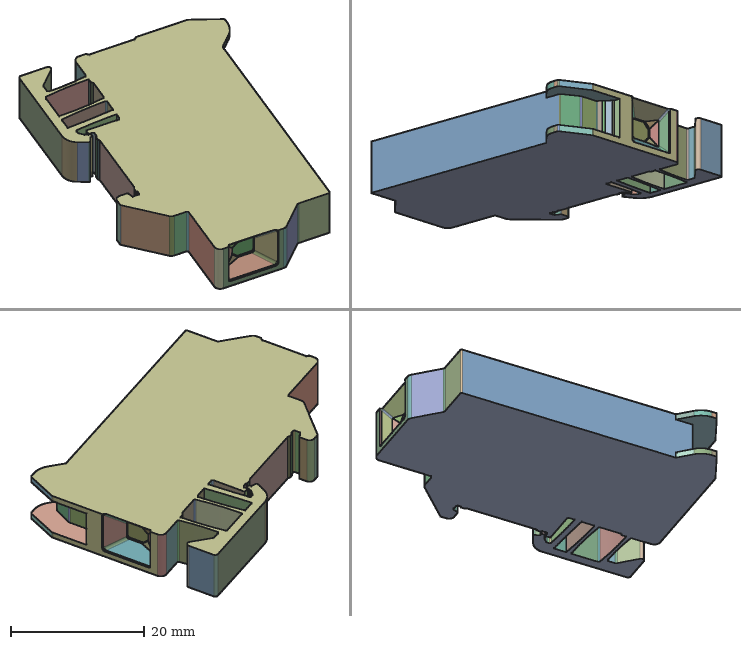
import cadquery as cq
import math

LENGTH = 48.0
HEIGHT = 33.5
WIDTH = 8.1

HOUSING_TOP_Y = 30.5
HOUSING_BOTTOM_Y = 9.5
HOUSING_LEFT_BOTTOM_Y = 9.2
CORNER_RADIUS = 1.0
SHOULDER_X = 44.0
RAIL_FACE_Y = 4.65
RAIL_LEFT_X = 16.15
RAIL_RIGHT_X = 31.55
RAIL_PAD_DROP = 0.2
RAIL_PAD_LENGTH = 1.1
RAIL_PAD_OUTER_SLOPE = 0.1
RAIL_PAD_INNER_SLOPE = 0.4
RAIL_PAD_LEFT_INSET = 0.95
RAIL_PAD_RIGHT_INSET = 0.7
LEG_LEFT_X = 15.25
LEG_BOTTOM_Y = 3.8
HOOK_TIP_X = 30.55
HOOK_BOTTOM_Y = 1.0
FLANK_X = 38.15

FOOT_TOP_Y = 2.45
FOOT_WINDOW_Y = 1.6
WEB_ROOT_RADIUS = 0.25

CHEEK = 1.0
SLOT_FLOOR_Y = 22.5
SLOT_BACK_X = 3.3

FUNNEL_DEPTH = 2.9
FUNNEL_LIP = 0.35
FUNNEL_UPPER_LIP = 0.1
FUNNEL_TAPER_END = FUNNEL_DEPTH - FUNNEL_LIP
FUNNEL_MOUTH_Y = (11.45, 19.8)
FUNNEL_FLOOR_Y = (13.3, 17.0)
FUNNEL_MOUTH_Z = (1.0, 8.35)
FUNNEL_FLOOR_Z = (2.8, 5.95)
FUNNEL_BREAK = (1.85, 12.0)
FUNNEL_ROUND = 0.6
FUNNEL_STEEP_ROUND = 0.3
FACET_Y = 1.0
FACET_Z = 0.9


def rounded_outline(corners):
    """Closed wire through (x, y, radius) corners; a zero radius keeps the corner sharp."""
    stretches = []
    for i, (x, y, radius) in enumerate(corners):
        corner = cq.Vector(x, y)
        before = (cq.Vector(*corners[i - 1][:2]) - corner).normalized()
        after = (cq.Vector(*corners[(i + 1) % len(corners)][:2]) - corner).normalized()
        if radius == 0:
            stretches.append([corner])
            continue
        half_angle = before.getAngle(after) / 2
        reach = radius / math.tan(half_angle)
        sagitta = radius / math.sin(half_angle) - radius
        middle = corner + (before + after).normalized() * sagitta
        stretches.append([corner + before * reach, middle, corner + after * reach])
    wire = cq.Workplane("XY").moveTo(*stretches[0][-1].toTuple()[:2])
    for stretch in stretches[1:] + stretches[:1]:
        wire = wire.lineTo(stretch[0].x, stretch[0].y)
        if len(stretch) == 3:
            wire = wire.threePointArc(stretch[1].toTuple()[:2], stretch[2].toTuple()[:2])
    return wire.wire()


def rail_pad(start_x, left_slope, right_slope):
    """Corners of one pad on the rail face, from left to right."""
    low_y = RAIL_FACE_Y - RAIL_PAD_DROP
    end_x = start_x + RAIL_PAD_LENGTH
    return [
        (start_x, RAIL_FACE_Y, 0),
        (start_x + left_slope, low_y, 0),
        (end_x - right_slope, low_y, 0),
        (end_x, RAIL_FACE_Y, 0),
    ]


def housing():
    left_pad_x = RAIL_LEFT_X + RAIL_PAD_LEFT_INSET
    right_pad_x = RAIL_RIGHT_X - RAIL_PAD_RIGHT_INSET - RAIL_PAD_LENGTH
    corners = [
        (0, HOUSING_LEFT_BOTTOM_Y, CORNER_RADIUS),
        (6.0, HOUSING_LEFT_BOTTOM_Y, 0),
        (6.3, HOUSING_BOTTOM_Y, 0),
        (LEG_LEFT_X, HOUSING_BOTTOM_Y, 0.3),
        (LEG_LEFT_X, LEG_BOTTOM_Y, 0),
        (RAIL_LEFT_X, LEG_BOTTOM_Y, 0),
        (RAIL_LEFT_X, RAIL_FACE_Y, 0.3),
        *rail_pad(left_pad_x, RAIL_PAD_OUTER_SLOPE, RAIL_PAD_INNER_SLOPE),
        *rail_pad(right_pad_x, RAIL_PAD_INNER_SLOPE, RAIL_PAD_OUTER_SLOPE),
        (RAIL_RIGHT_X, RAIL_FACE_Y, 0.2),
        (RAIL_RIGHT_X, 3.5, 0),
        (HOOK_TIP_X, 3.15, 0.15),
        (HOOK_TIP_X, HOOK_BOTTOM_Y, 0.8),
        (32.4, HOOK_BOTTOM_Y, 0.25),
        (FLANK_X, 6.75, CORNER_RADIUS),
        (FLANK_X, HOUSING_BOTTOM_Y, 0.3),
        (LENGTH, HOUSING_BOTTOM_Y, CORNER_RADIUS),
        (LENGTH, 21.0, CORNER_RADIUS),
        (SHOULDER_X, 25.0, 0.5),
        (SHOULDER_X, HOUSING_TOP_Y, 0.25),
        (7.75, HOUSING_TOP_Y, 0),
        (4.7, HEIGHT, 3.5),
        (2.35, HEIGHT, 0.3),
        (0, 28.45, 0.4),
    ]
    return rounded_outline(corners).extrude(WIDTH)


def foot():
    corners = [
        (0, 0, 0.5),
        (16.25, 0, 2.65),
        (17.9, 3.2, 0.25),
        (16.9, 3.65, 0),
        (16.9, 4.1, 0),
        (16.2, 4.1, 0),
        (16.2, 3.7, 0),
        (16.0, 3.45, 0),
        (16.0, 3.15, 0),
        (15.25, FOOT_TOP_Y, 0.4),
        (14.0, FOOT_TOP_Y, 0),
        (14.0, FOOT_WINDOW_Y, 0),
        (5.5, FOOT_WINDOW_Y, 0),
        (5.5, FOOT_TOP_Y, 0),
        (3.5, FOOT_TOP_Y, 0.5),
        (0, 5.95, 0.5),
    ]
    return rounded_outline(corners).extrude(WIDTH)


def web(left_face, right_face):
    """Curved leaf spring; each face is given by its lower, middle and upper point."""
    return (
        cq.Workplane("XY")
        .moveTo(*left_face[0])
        .threePointArc(left_face[1], left_face[2])
        .lineTo(*right_face[2])
        .threePointArc(right_face[1], right_face[0])
        .close()
        .extrude(WIDTH)
    )


def webs():
    outer = web([(5.0, 1.55), (4.9, 5.3), (4.35, 9.6)], [(5.9, 1.55), (5.4, 5.3), (5.25, 9.6)])
    middle = web([(10.6, 1.55), (10.45, 5.3), (9.95, 9.6)], [(11.45, 1.55), (11.0, 5.3), (10.7, 9.6)])
    inner = web([(13.55, 1.55), (13.3, 5.3), (12.9, 9.6)], [(14.7, 1.55), (14.3, 5.3), (14.05, 9.6)])
    return outer.union(middle).union(inner)


def marker_slot():
    """Open space between the cheeks, bounded by the stepped end of the core."""
    beyond = 0.5
    corners = [
        (8.15, HOUSING_TOP_Y, 0),
        (4.9, HOUSING_TOP_Y, 0.2),
        (SLOT_BACK_X, 27.45, 0.85),
        (SLOT_BACK_X, 24.1, 0.2),
        (2.6, 23.65, 0),
        (2.3, 23.25, 0),
        (1.35, 22.75, 0),
        (1.2, SLOT_FLOOR_Y, 0),
        (-beyond, SLOT_FLOOR_Y, 0),
        (-beyond, HEIGHT + beyond, 0),
        (8.15, HEIGHT + beyond, 0),
    ]
    cutter = rounded_outline(corners).extrude(WIDTH - 2 * CHEEK)
    return cutter.translate((0, 0, CHEEK))


def facet_cut(lip, mouth_z, floor_z, outward):
    """Block lying outside a slanted facet in one lower corner of the funnel floor."""
    corner = cq.Vector(FUNNEL_TAPER_END, FUNNEL_FLOOR_Y[0], floor_z)
    along_y = corner + cq.Vector(0, FACET_Y, 0)
    along_z = corner + cq.Vector(0, 0, -outward * FACET_Z)
    taper_share = (FUNNEL_TAPER_END - FUNNEL_BREAK[0]) / (FUNNEL_TAPER_END - lip)
    tip = cq.Vector(*FUNNEL_BREAK, floor_z + taper_share * (mouth_z - floor_z))
    normal = (along_z - along_y).cross(tip - along_y) * -outward
    return cq.Workplane(cq.Plane(origin=tip, normal=normal)).rect(LENGTH, LENGTH).extrude(FUNNEL_DEPTH)


def corner_edges(y_range, z_range):
    """Selector for the funnel edges whose midpoints lie in one corner of the end face."""
    start = (-FUNNEL_DEPTH, y_range[0], z_range[0])
    end = (FUNNEL_DEPTH, y_range[1], z_range[1])
    return cq.selectors.BoxSelector(start, end)


def funnel():
    """Cutter for the funnel in the end face at X = 0; its mouth breaks out through the top."""
    beyond = 0.5
    side = [
        (-beyond, FUNNEL_MOUTH_Z[0]),
        (FUNNEL_LIP, FUNNEL_MOUTH_Z[0]),
        (FUNNEL_TAPER_END, FUNNEL_FLOOR_Z[0]),
        (FUNNEL_TAPER_END, FUNNEL_FLOOR_Z[1]),
        (FUNNEL_UPPER_LIP, FUNNEL_MOUTH_Z[1]),
        (-beyond, FUNNEL_MOUTH_Z[1]),
    ]
    plan = [
        (-beyond, FUNNEL_MOUTH_Y[0]),
        (FUNNEL_LIP, FUNNEL_MOUTH_Y[0]),
        FUNNEL_BREAK,
        (FUNNEL_TAPER_END, FUNNEL_FLOOR_Y[0]),
        (FUNNEL_TAPER_END, FUNNEL_FLOOR_Y[1]),
        (FUNNEL_LIP, FUNNEL_MOUTH_Y[1]),
        (-beyond, FUNNEL_MOUTH_Y[1]),
    ]
    side_prism = cq.Workplane("XZ").polyline(side).close().extrude(-HEIGHT)
    plan_prism = cq.Workplane("XY").polyline(plan).close().extrude(2 * WIDTH)
    taper = side_prism.intersect(plan_prism)
    taper = taper.cut(facet_cut(FUNNEL_LIP, FUNNEL_MOUTH_Z[0], FUNNEL_FLOOR_Z[0], -1))
    taper = taper.cut(facet_cut(FUNNEL_UPPER_LIP, FUNNEL_MOUTH_Z[1], FUNNEL_FLOOR_Z[1], 1))
    lower_z = (FUNNEL_MOUTH_Z[0] - beyond, FUNNEL_FLOOR_Z[0] - 0.6)
    upper_z = (FUNNEL_FLOOR_Z[1] + 0.6, FUNNEL_MOUTH_Z[1] + beyond)
    wide_y = (FUNNEL_FLOOR_Y[1] + beyond, FUNNEL_MOUTH_Y[1] + beyond)
    steep_y = (FUNNEL_MOUTH_Y[0] - beyond, FUNNEL_BREAK[1])
    for z_range in (lower_z, upper_z):
        taper = taper.edges(corner_edges(wide_y, z_range)).fillet(FUNNEL_ROUND)
        taper = taper.edges(corner_edges(steep_y, z_range)).fillet(FUNNEL_STEEP_ROUND)
    return taper.faces(">X").wires().toPending().workplane().extrude(FUNNEL_LIP)


left_funnel = funnel()
right_funnel = left_funnel.mirror("YZ").translate((LENGTH, 0, 0))


def round_web_roots(body):
    """Fillet the inner corners where the webs meet the housing and the foot."""
    roots = [
        (4.4, HOUSING_LEFT_BOTTOM_Y),
        (5.0, FOOT_TOP_Y),
        (5.9, FOOT_WINDOW_Y),
        (9.95, HOUSING_BOTTOM_Y),
        (10.7, HOUSING_BOTTOM_Y),
        (14.6, FOOT_TOP_Y),
    ]
    for x, y in roots:
        root_edge = cq.selectors.NearestToPointSelector((x, y, WIDTH / 2))
        body = body.edges("|Z").edges(root_edge).fillet(WEB_ROOT_RADIUS)
    return body


result = round_web_roots(housing().union(foot()).union(webs()))
result = result.cut(marker_slot()).cut(left_funnel).cut(right_funnel)